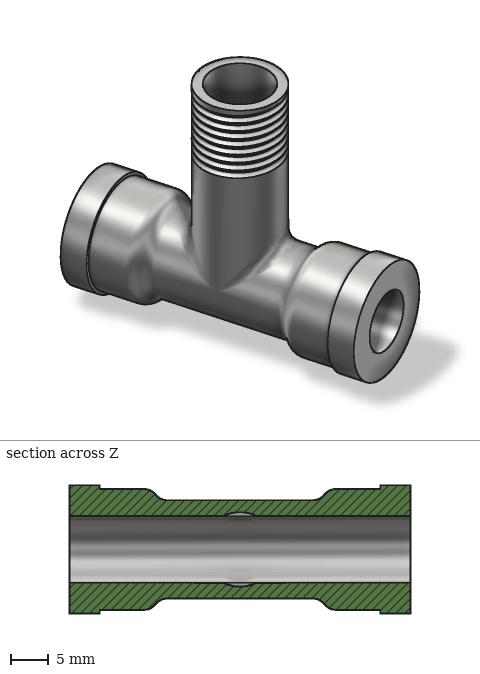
import cadquery as cq
import math

run_length = 45.0
run_radius = 6.5
run_bore_radius = 4.4
socket_radius = 8.0
collar_radius = 8.5
collar_length = 4.0
socket_end_x = 12.7
neck_arc_radius = 2.0

branch_top_z = 30.0
branch_radius = 6.4
branch_bore_radius = 4.9
junction_fillet_radius = 2.0
selection_margin = 0.1

thread_pitch = 1.25
thread_turns = 8
thread_depth = 5 / 8 * thread_pitch * math.cos(math.radians(30))
groove_root_width = thread_pitch / 4
groove_mouth_width = 7 / 8 * thread_pitch
thread_top_gap = 0.02
cutter_overlap = 0.08


def x_cylinder(radius, length):
    """Cylinder along X, centred on the origin."""
    return cq.Workplane("YZ", origin=(-length / 2, 0, 0)).circle(radius).extrude(length)


def run_body():
    """Plain tube along X with a revolved end, neck to collar, on either side."""
    half_length = run_length / 2
    collar_inner_x = half_length - collar_length
    neck_drop = (socket_radius - run_radius) / 2
    neck_angle = math.acos(1 - neck_drop / neck_arc_radius)
    arc_length_x = neck_arc_radius * math.sin(neck_angle)
    half_arc_x = neck_arc_radius * math.sin(neck_angle / 2)
    half_arc_drop = neck_arc_radius * (1 - math.cos(neck_angle / 2))
    neck_mid_x = socket_end_x - arc_length_x
    neck_end_x = socket_end_x - 2 * arc_length_x

    end_profile = (
        cq.Workplane("XZ")
        .moveTo(neck_end_x, 0)
        .lineTo(half_length, 0)
        .lineTo(half_length, collar_radius)
        .lineTo(collar_inner_x, collar_radius)
        .lineTo(collar_inner_x, socket_radius)
        .lineTo(socket_end_x, socket_radius)
        .threePointArc(
            (socket_end_x - half_arc_x, socket_radius - half_arc_drop),
            (neck_mid_x, socket_radius - neck_drop),
        )
        .threePointArc(
            (neck_end_x + half_arc_x, run_radius + half_arc_drop),
            (neck_end_x, run_radius),
        )
        .close()
    )
    run_end = end_profile.revolve(360, (0, 0, 0), (1, 0, 0))
    return x_cylinder(run_radius, 2 * neck_end_x).union(run_end).union(run_end.mirror("YZ"))


def upright_cylinder(radius):
    """Cylinder from the run axis up to the branch rim."""
    return cq.Workplane("XY").circle(radius).extrude(branch_top_z)


def add_branch(body):
    """Join the branch tube to the run and round the saddle-shaped junction."""
    joined = body.union(upright_cylinder(branch_radius))
    reach = branch_radius + selection_margin
    saddle_box = cq.selectors.BoxSelector(
        (-reach, -reach, selection_margin),
        (reach, reach, run_radius + selection_margin),
        boundingbox=True,
    )
    return joined.edges(saddle_box).fillet(junction_fillet_radius)


def cut_bores(body):
    """Open the run from end to end and the branch down to the run axis."""
    run_bore = x_cylinder(run_bore_radius, run_length)
    return body.cut(run_bore).cut(upright_cylinder(branch_bore_radius))


def thread_groove():
    """Right-hand helical groove cutter that starts and ends on the -X side."""
    root_radius = branch_radius - thread_depth
    cutter_radius = branch_radius + cutter_overlap
    flank_slope = (groove_mouth_width - groove_root_width) / 2 / thread_depth
    half_root = groove_root_width / 2
    half_cutter = groove_mouth_width / 2 + cutter_overlap * flank_slope
    groove_height = thread_pitch * thread_turns
    start_z = branch_top_z - thread_top_gap - groove_mouth_width / 2 - groove_height

    helix = cq.Wire.makeHelix(thread_pitch, groove_height, root_radius)
    groove = (
        cq.Workplane("XZ")
        .polyline(
            [
                (root_radius, -half_root),
                (cutter_radius, -half_cutter),
                (cutter_radius, half_cutter),
                (root_radius, half_root),
            ]
        )
        .close()
        .sweep(cq.Workplane(helix), isFrenet=True)
    )
    return groove.rotate((0, 0, 0), (0, 0, 1), 180).translate((0, 0, start_z))


tee = cut_bores(add_branch(run_body()))
result = tee.cut(thread_groove())